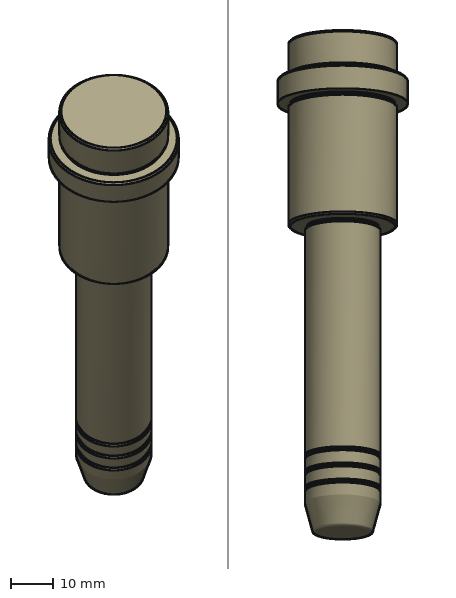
import cadquery as cq
import math

total_length = 120.0
flange_radius = 15.5
head_radius = 13.0
shaft_radius = 9.0

flange_top = 111.0
flange_bottom = 105.0
body_bottom = 75.0

edge_chamfer = 0.5

relief_depth = 0.5
relief_floor = 0.5
relief_runout = 0.5

groove_count = 3
groove_pitch = 4.0
first_groove_bottom = 10.1
groove_depth = 0.4
groove_floor = 0.5
groove_runout = 0.5

taper_height = 7.1
taper_angle = 15.0
tip_round = 0.7
tip_radius = shaft_radius - taper_height * math.tan(math.radians(taper_angle))


def cylinder(radius, bottom, top):
    return cq.Workplane("XY").workplane(offset=bottom).circle(radius).extrude(top - bottom)


def ring_groove(radius, depth, floor_end, floor_start, runout_end):
    """Ring cutter with a square wall at floor_end and a slope out to runout_end."""
    outside = radius + depth
    floor_radius = radius - depth
    slope_end = 2 * runout_end - floor_start
    profile = [
        (outside, floor_end),
        (floor_radius, floor_end),
        (floor_radius, floor_start),
        (outside, slope_end),
    ]
    return cq.Workplane("XZ").polyline(profile).close().revolve(360, (0, 0, 0), (0, 1, 0))


def relief_below(radius, shoulder):
    """Relief groove directly below a shoulder, running out downward."""
    floor_start = shoulder - relief_floor
    return ring_groove(radius, relief_depth, shoulder, floor_start, floor_start - relief_runout)


def make_shaft():
    cone = (
        cq.Workplane("XY")
        .circle(tip_radius)
        .workplane(offset=taper_height)
        .circle(shaft_radius)
        .loft(ruled=True)
        .faces("<Z")
        .edges()
        .fillet(tip_round)
    )
    shaft = cone.union(cylinder(shaft_radius, taper_height, body_bottom))
    shaft = shaft.cut(relief_below(shaft_radius, body_bottom))
    for index in range(groove_count):
        bottom = first_groove_bottom + index * groove_pitch
        floor_start = bottom + groove_runout
        floor_end = floor_start + groove_floor
        shaft = shaft.cut(ring_groove(shaft_radius, groove_depth, floor_end, floor_start, bottom))
    return shaft


def make_body():
    body = cylinder(head_radius, body_bottom, flange_bottom).faces("<Z").edges().chamfer(edge_chamfer)
    return body.cut(relief_below(head_radius, flange_bottom))


def make_flange():
    return cylinder(flange_radius, flange_bottom, flange_top).faces(">Z").edges().chamfer(edge_chamfer)


def make_head():
    head = cylinder(head_radius, flange_top, total_length).faces(">Z").edges().chamfer(edge_chamfer)
    floor_start = flange_top + relief_floor
    relief = ring_groove(head_radius, relief_depth, flange_top, floor_start, floor_start + relief_runout)
    return head.cut(relief)


result = make_shaft().union(make_body()).union(make_flange()).union(make_head())